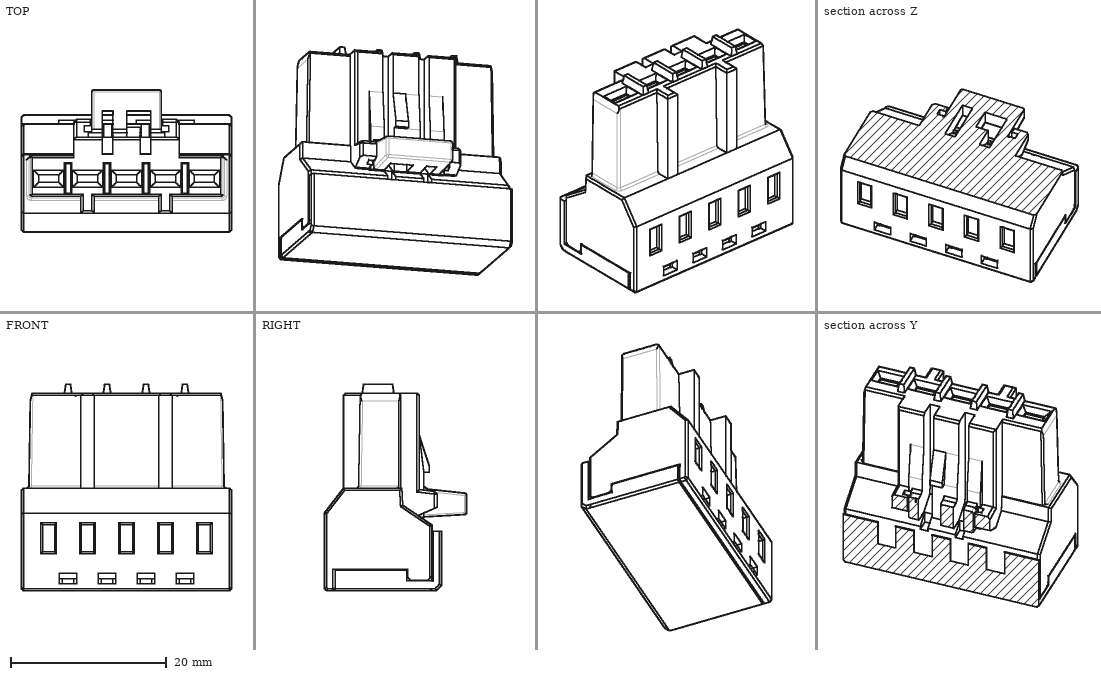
import cadquery as cq

BODY_WIDTH = 27.0
TOTAL_DEPTH = 18.28
TOTAL_HEIGHT = 26.55
HALF_WIDTH = BODY_WIDTH / 2

PITCH = 5.0
POLES = 5
TERMINAL_X = [(i - (POLES - 1) / 2) * PITCH for i in range(POLES)]
DIVIDER_X = [x + PITCH / 2 for x in TERMINAL_X[:-1]]

EDGE_BREAK = 0.3
END_CHAMFER = 0.29
SHOULDER_FRONT_Z = 10.0
SHOULDER_Y = 2.46
BASE_TOP_Z = 13.2
BASE_TOP_REAR_Y = 9.95
SLOPE_TOP_Y = 10.07
SLOPE_TOP_Z = 11.0
SLOPE_BOTTOM_Z = 8.45
BASE_REAR_Y = 13.85

COVER_REAR_Y = 15.06
COVER_FLOOR_Z = 1.28
COVER_WALL_TOP_Z = 7.67
COVER_REAR_GAP = 0.1
COVER_CORNER_CHAMFER = 0.7
COVER_FRONT_Y = 1.38
COVER_TAB_REAR_Y = 10.6
COVER_TAB_TOP_Z = 2.65
COVER_FRONT_GAP = 0.33
SEAM_WIDTH = 0.1
SEAM_DEPTH = 0.4
FOOT_CHAMFER = 0.75
TOE_CHAMFER = 0.55
WALL_POCKET_WIDTH = 2.44
WALL_POCKET_DEPTH = 0.45
WALL_POCKET_HEIGHT = 4.5

TOWER_TOP_Z = 25.4
TOWER_FOOT_RADIUS = 0.3
TOWER_CORNER_RADIUS = 0.3
TOWER_REAR_CHAMFER = 0.25
TOWER_HALF_BOTTOM = 12.55
TOWER_HALF_TOP = 12.37
TOWER_TOP_BEVEL_X = 0.25
TOWER_TOP_BEVEL_Z = 1.0
TOWER_FRONT_BOTTOM_Y = 4.4
TOWER_FRONT_TOP_Y = 4.6
TOWER_REAR_Y = 9.83

RIB_WIDTH = 1.7
RIB_X = [-PITCH, PITCH]
SPINE_WIDTH = 13.54
SPINE_FRONT_Y = 9.0
SPINE_REAR_Y = 12.2
SLOT_FRONT_Y = 10.0
SLOT_INNER_X = 1.74
SLOT_OUTER_X = 3.09
SLOT_WIDTH = SLOT_OUTER_X - SLOT_INNER_X
SLOT_X = (SLOT_OUTER_X + SLOT_INNER_X) / 2

FUNNEL_LENGTH_X = 3.9
FUNNEL_LENGTH_Y = 2.22
FUNNEL_Y = 6.87
FUNNEL_DEPTH = 0.6
WIRE_HOLE_X = 2.6
WIRE_HOLE_Y = 0.95
WIRE_HOLE_DEPTH = 0.85
DIVIDER_WIDTH = 0.96
DIVIDER_LENGTH = 4.08
DIVIDER_Y = 6.9
DIVIDER_DRAFT = 0.17
WINDOW_WIDTH = 2.0
WINDOW_HEIGHT = 3.94
WINDOW_Z = 6.77
WINDOW_BEVEL = 0.22
WINDOW_DEPTH = 0.75
VENT_WIDTH = 2.26
VENT_BOTTOM_Z = 0.92
VENT_TOP_Z = 2.28
VENT_STEP_Z = 1.55
VENT_UPPER_DEPTH = 0.85
VENT_LOWER_DEPTH = 0.95
VENT_INNER_WIDTH = 1.5
VENT_INNER_DEPTH = 1.05

LEVER_WIDTH = 8.96
LEVER_TIP_TOP_Z = 12.54
LEVER_TIP_BOTTOM_Z = 9.8
LEVER_ROOT_TOP_Z = 13.2
LEVER_ROOT_BOTTOM_Z = 9.45
LEVER_SLOT_REAR_Y = 15.55
LEVER_FILLET = 0.3
ROOT_GUSSET_DEPTH = 0.45
ROOT_GUSSET_HEIGHT = 0.22
ROOT_GUSSET_TOE_DROP = 0.11
LATCH_INNER_X = 0.06
PLATE_WIDTH = 9.86
PLATE_REAR_Y = 12.78
PLATE_TOP_Z = 20.0
LATCH_Y = 13.5
LATCH_BOTTOM_Z = 15.23
LATCH_FLAT_TOP_Z = 16.0
BRACKET_GAP = 0.15
BRACKET_CHAMFER = 0.35
BRACKET_REAR_Y = 14.48
BRACKET_TOP_Z = 12.75
BRACKET_ROOT_TOP_Z = 13.05
BRACKET_BOTTOM_Z = 10.75
BRACKET_ROOT_BOTTOM_Z = 9.6
BRACKET_SLOT_WIDTH = 0.8
BRACKET_SLOT_FRONT_Y = 12.9
BRACKET_SLOT_REAR_Y = 13.65
REAR_NOTCH_WIDTH = 1.06
REAR_NOTCH_FLOOR_Z = 8.0

SELECTION_MARGIN = 0.03


def box(x0, x1, y0, y1, z0, z1):
    """Axis-aligned block between the given limits."""
    return cq.Workplane("XY").box(x1 - x0, y1 - y0, z1 - z0, centered=False).translate((x0, y0, z0))


def prism_x(points, x0, x1):
    """Extrude a (Y, Z) outline between two X positions."""
    return cq.Workplane("YZ").workplane(offset=x0).polyline(points).close().extrude(x1 - x0)


def prism_y(points, y0, y1):
    """Extrude an (X, Z) outline between two Y positions."""
    return cq.Workplane("XZ").workplane(offset=-y0).polyline(points).close().extrude(y0 - y1)


def tapered_block(size_x, size_y, end_x, end_y, height):
    """Rectangle on the XY plane that changes to a second rectangle at the given height."""
    return (
        cq.Workplane("XY").rect(size_x, size_y)
        .workplane(offset=height).rect(end_x, end_y).loft()
    )


def make_base():
    outline = [
        (0, EDGE_BREAK),
        (0, SHOULDER_FRONT_Z),
        (SHOULDER_Y, BASE_TOP_Z),
        (BASE_TOP_REAR_Y, BASE_TOP_Z),
        (SLOPE_TOP_Y, SLOPE_TOP_Z),
        (BASE_REAR_Y, SLOPE_BOTTOM_Z),
        (BASE_REAR_Y, 0),
        (EDGE_BREAK, 0),
    ]
    base = prism_x(outline, -HALF_WIDTH, HALF_WIDTH)
    return base.faces("<X or >X").edges().chamfer(END_CHAMFER)


def make_rear_notch(x):
    """Flat-floored notch in the rear slope of the base, below the lever."""
    return box(
        x - REAR_NOTCH_WIDTH / 2, x + REAR_NOTCH_WIDTH / 2,
        SPINE_REAR_Y, BASE_REAR_Y, REAR_NOTCH_FLOOR_Z, SLOPE_TOP_Z,
    )


def make_cover():
    wall_front = BASE_REAR_Y + COVER_REAR_GAP
    outline = [
        (COVER_FRONT_Y, 0),
        (COVER_REAR_Y - COVER_CORNER_CHAMFER, 0),
        (COVER_REAR_Y, COVER_CORNER_CHAMFER),
        (COVER_REAR_Y, COVER_WALL_TOP_Z),
        (wall_front, COVER_WALL_TOP_Z),
        (wall_front, COVER_FLOOR_Z),
        (COVER_FRONT_Y, COVER_FLOOR_Z),
    ]
    cover = prism_x(outline, -HALF_WIDTH, HALF_WIDTH)
    cover = cover.edges("(|Z and >Y) or (|Y and <Z) or (not (|X or |Y or |Z))").chamfer(EDGE_BREAK)
    for x in DIVIDER_X:
        cover = cover.cut(prism_x([
            (wall_front, COVER_WALL_TOP_Z - WALL_POCKET_HEIGHT),
            (wall_front, COVER_WALL_TOP_Z),
            (wall_front + WALL_POCKET_DEPTH, COVER_WALL_TOP_Z),
        ], x - WALL_POCKET_WIDTH / 2, x + WALL_POCKET_WIDTH / 2))
    return cover


def cut_cover_seams(part):
    """Shallow parting grooves around the cover on both ends and a groove across the underside."""
    rear_foot = BASE_REAR_Y + COVER_REAR_GAP
    gap_front = COVER_FRONT_Y - COVER_FRONT_GAP
    for x in (-HALF_WIDTH, HALF_WIDTH - SEAM_DEPTH):
        end = x + SEAM_DEPTH
        seam = box(x, end, gap_front, COVER_FRONT_Y, 0, COVER_TAB_TOP_Z)
        seam = seam.union(box(
            x, end, gap_front, COVER_TAB_REAR_Y + SEAM_WIDTH, COVER_TAB_TOP_Z, COVER_TAB_TOP_Z + SEAM_WIDTH))
        seam = seam.union(box(
            x, end, COVER_TAB_REAR_Y, COVER_TAB_REAR_Y + SEAM_WIDTH, COVER_FLOOR_Z, COVER_TAB_TOP_Z))
        seam = seam.union(box(
            x, end, COVER_TAB_REAR_Y, rear_foot, COVER_FLOOR_Z, COVER_FLOOR_Z + SEAM_WIDTH))
        seam = seam.union(prism_x([
            (rear_foot, COVER_FLOOR_Z),
            (rear_foot, COVER_FLOOR_Z + FOOT_CHAMFER),
            (rear_foot - FOOT_CHAMFER, COVER_FLOOR_Z),
        ], x, end))
        seam = seam.union(prism_x([
            (COVER_TAB_REAR_Y, COVER_FLOOR_Z),
            (COVER_TAB_REAR_Y, COVER_FLOOR_Z + TOE_CHAMFER),
            (COVER_TAB_REAR_Y + TOE_CHAMFER, COVER_FLOOR_Z),
        ], x, end))
        part = part.cut(seam)
    groove = box(-HALF_WIDTH, HALF_WIDTH, gap_front, COVER_FRONT_Y - SEAM_WIDTH, 0, EDGE_BREAK)
    return part.cut(groove)


def make_tower():
    right_side = [
        (TOWER_HALF_BOTTOM, BASE_TOP_Z),
        (TOWER_HALF_TOP, TOWER_TOP_Z - TOWER_TOP_BEVEL_Z),
        (TOWER_HALF_TOP - TOWER_TOP_BEVEL_X, TOWER_TOP_Z),
    ]
    left_side = [(-x, z) for x, z in reversed(right_side)]
    side_outline = [
        (TOWER_FRONT_BOTTOM_Y, BASE_TOP_Z),
        (TOWER_FRONT_TOP_Y, TOWER_TOP_Z - EDGE_BREAK),
        (TOWER_FRONT_TOP_Y + EDGE_BREAK, TOWER_TOP_Z),
        (TOWER_REAR_Y - EDGE_BREAK, TOWER_TOP_Z),
        (TOWER_REAR_Y, TOWER_TOP_Z - EDGE_BREAK),
        (TOWER_REAR_Y, BASE_TOP_Z),
    ]
    tower = prism_y(right_side + left_side, 0, TOTAL_DEPTH)
    tower = tower.intersect(prism_x(side_outline, -HALF_WIDTH, HALF_WIDTH))
    tower = tower.edges(upright_edges(0, FUNNEL_Y)).fillet(TOWER_CORNER_RADIUS)
    return tower.edges(upright_edges(FUNNEL_Y, TOTAL_DEPTH)).chamfer(TOWER_REAR_CHAMFER)


def upright_edges(y0, y1):
    """Selector for the upright tower edges between two Y positions."""
    return cq.selectors.BoxSelector(
        (-HALF_WIDTH, y0, BASE_TOP_Z + EDGE_BREAK),
        (HALF_WIDTH, y1, TOWER_TOP_Z - 2 * TOWER_TOP_BEVEL_Z),
    )


def blend_tower_foot(part):
    """Concave fillet along the front and the ends of the tower, where it meets the top of the base."""
    margin = SELECTION_MARGIN
    foot_edges = cq.selectors.BoxSelector(
        (-TOWER_HALF_BOTTOM - margin, TOWER_FRONT_BOTTOM_Y - margin, BASE_TOP_Z - margin),
        (TOWER_HALF_BOTTOM + margin, TOWER_REAR_Y - TOWER_REAR_CHAMFER + margin, BASE_TOP_Z + margin),
        boundingbox=True,
    )
    return part.edges(foot_edges).fillet(TOWER_FOOT_RADIUS)


def make_rib(x):
    rib = box(
        x - RIB_WIDTH / 2, x + RIB_WIDTH / 2,
        SHOULDER_Y, FUNNEL_Y - FUNNEL_LENGTH_Y / 2, BASE_TOP_Z, TOWER_TOP_Z,
    )
    return rib.faces(">Z").edges("|Y or <Y").chamfer(EDGE_BREAK)


def make_spine():
    spine = prism_x([
        (SPINE_FRONT_Y, SLOPE_BOTTOM_Z),
        (SPINE_FRONT_Y, TOWER_TOP_Z),
        (SPINE_REAR_Y - EDGE_BREAK, TOWER_TOP_Z),
        (SPINE_REAR_Y, TOWER_TOP_Z - EDGE_BREAK),
        (SPINE_REAR_Y, SLOPE_BOTTOM_Z),
    ], -SPINE_WIDTH / 2, SPINE_WIDTH / 2)
    spine = spine.edges("|Z and >Y").chamfer(EDGE_BREAK)
    plate = prism_x([
        (SPINE_REAR_Y, LEVER_ROOT_BOTTOM_Z),
        (SPINE_REAR_Y, PLATE_TOP_Z),
        (PLATE_REAR_Y, LATCH_BOTTOM_Z),
        (PLATE_REAR_Y, LEVER_ROOT_BOTTOM_Z),
    ], -PLATE_WIDTH / 2, PLATE_WIDTH / 2)
    return spine.union(plate)


def make_lever():
    lever = prism_x([
        (SPINE_REAR_Y, LEVER_ROOT_BOTTOM_Z),
        (SPINE_REAR_Y, LEVER_ROOT_TOP_Z),
        (TOTAL_DEPTH, LEVER_TIP_TOP_Z),
        (TOTAL_DEPTH, LEVER_TIP_BOTTOM_Z),
    ], -LEVER_WIDTH / 2, LEVER_WIDTH / 2)
    lever = lever.edges("not <Y").fillet(LEVER_FILLET)
    root_gusset = prism_x([
        (PLATE_REAR_Y, LEVER_ROOT_BOTTOM_Z + LEVER_FILLET),
        (PLATE_REAR_Y, LEVER_ROOT_TOP_Z + ROOT_GUSSET_HEIGHT),
        (PLATE_REAR_Y + ROOT_GUSSET_DEPTH, LEVER_ROOT_TOP_Z - ROOT_GUSSET_TOE_DROP),
    ], -LEVER_WIDTH / 2, LEVER_WIDTH / 2)
    return lever.union(root_gusset)


def make_bracket(side):
    """Bracket beside the lever; side is -1 or 1."""
    root_y = SPINE_REAR_Y - EDGE_BREAK
    inner = LEVER_WIDTH / 2 + BRACKET_GAP
    outer = SPINE_WIDTH / 2
    bracket = prism_x([
        (root_y, BRACKET_ROOT_BOTTOM_Z),
        (root_y, BRACKET_ROOT_TOP_Z),
        (BRACKET_REAR_Y, BRACKET_TOP_Z),
        (BRACKET_REAR_Y, BRACKET_BOTTOM_Z),
    ], inner, outer)
    outer_edges = bracket.faces(">Z").edges(">X or >Y").add(bracket.faces(">Y").edges(">X"))
    bracket = outer_edges.chamfer(BRACKET_CHAMFER)
    bracket = bracket.cut(box(
        inner, inner + BRACKET_SLOT_WIDTH, BRACKET_SLOT_FRONT_Y, BRACKET_SLOT_REAR_Y,
        BRACKET_ROOT_BOTTOM_Z, BRACKET_ROOT_TOP_Z,
    ))
    return bracket if side > 0 else bracket.mirror("YZ")


def cut_lever_slots(part):
    """Two slots down the spine and through the lever; the right one is wider in the lever."""
    for x in (-SLOT_X, SLOT_X):
        part = part.cut(box(
            x - SLOT_WIDTH / 2, x + SLOT_WIDTH / 2,
            SLOT_FRONT_Y, LEVER_SLOT_REAR_Y, SLOPE_BOTTOM_Z, TOTAL_HEIGHT,
        ))
    return part.cut(box(
        LATCH_INNER_X, SLOT_OUTER_X, PLATE_REAR_Y, LEVER_SLOT_REAR_Y, SLOPE_BOTTOM_Z, TOTAL_HEIGHT))


def make_latch():
    return prism_x([
        (SPINE_REAR_Y, LATCH_BOTTOM_Z),
        (SPINE_REAR_Y, PLATE_TOP_Z),
        (LATCH_Y, LATCH_FLAT_TOP_Z),
        (LATCH_Y, LATCH_BOTTOM_Z),
    ], LATCH_INNER_X, SLOT_INNER_X)


def make_divider(x):
    divider = tapered_block(
        DIVIDER_WIDTH, DIVIDER_LENGTH,
        DIVIDER_WIDTH - 2 * DIVIDER_DRAFT, DIVIDER_LENGTH - 2 * DIVIDER_DRAFT,
        TOTAL_HEIGHT - TOWER_TOP_Z,
    )
    return divider.translate((x, DIVIDER_Y, TOWER_TOP_Z))


def make_wire_entry(x):
    funnel = tapered_block(FUNNEL_LENGTH_X, FUNNEL_LENGTH_Y, WIRE_HOLE_X, WIRE_HOLE_Y, -FUNNEL_DEPTH)
    hole = cq.Workplane("XY").rect(WIRE_HOLE_X, WIRE_HOLE_Y).extrude(-WIRE_HOLE_DEPTH)
    return funnel.union(hole).translate((x, FUNNEL_Y, TOWER_TOP_Z))


def make_window(x):
    inner_width = WINDOW_WIDTH - 2 * WINDOW_BEVEL
    inner_height = WINDOW_HEIGHT - 2 * WINDOW_BEVEL
    bevel = tapered_block(WINDOW_WIDTH, WINDOW_HEIGHT, inner_width, inner_height, -WINDOW_BEVEL)
    pocket = cq.Workplane("XY").rect(inner_width, inner_height).extrude(-WINDOW_DEPTH)
    return bevel.union(pocket).rotate((0, 0, 0), (1, 0, 0), 90).translate((x, 0, WINDOW_Z))


def make_vent(x):
    """Rectangular recess whose lower half steps back, with a deeper middle stretch."""
    left = x - VENT_WIDTH / 2
    right = x + VENT_WIDTH / 2
    inner_left = x - VENT_INNER_WIDTH / 2
    inner_right = x + VENT_INNER_WIDTH / 2
    vent = box(left, right, 0, VENT_UPPER_DEPTH, VENT_BOTTOM_Z, VENT_TOP_Z)
    vent = vent.union(box(left, right, 0, VENT_LOWER_DEPTH, VENT_BOTTOM_Z, VENT_STEP_Z))
    return vent.union(box(inner_left, inner_right, 0, VENT_INNER_DEPTH, VENT_BOTTOM_Z, VENT_STEP_Z))


body = make_base()
for notch_side in (-1, 1):
    body = body.cut(make_rear_notch(notch_side * SLOT_X))
body = body.union(make_cover())
body = cut_cover_seams(body)
body = body.union(make_tower())
body = blend_tower_foot(body)
for rib_x in RIB_X:
    body = body.union(make_rib(rib_x))

lever_group = make_spine().union(make_lever())
lever_group = cut_lever_slots(lever_group)
lever_group = lever_group.union(make_latch())
for lever_side in (-1, 1):
    lever_group = lever_group.union(make_bracket(lever_side))
body = body.union(lever_group)

for terminal_x in TERMINAL_X:
    body = body.cut(make_wire_entry(terminal_x))
    body = body.cut(make_window(terminal_x))
for divider_x in DIVIDER_X:
    body = body.union(make_divider(divider_x))
    body = body.cut(make_vent(divider_x))

result = body